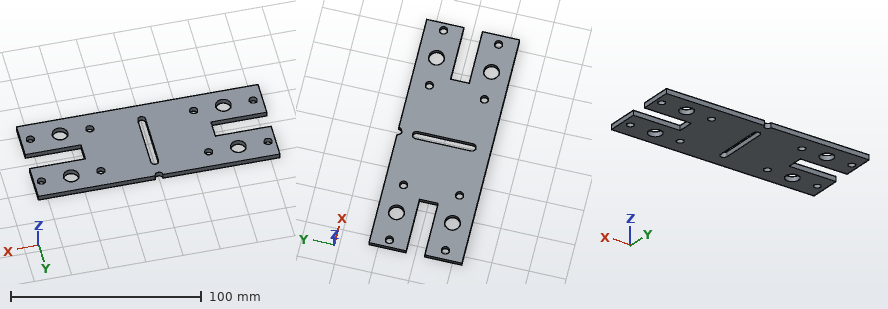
import cadquery as cq

length = 130.0
width = 50.0
thickness = 3.0

end_slot_depth = 30.0
end_slot_width = 10.0

large_diameter = 8.2
small_diameter = 4.2
hole_pitch = 16.0
row_offset = 15.0
back_group_x = 45.0
front_group_x = 44.0

slot_length = 2 * row_offset + small_diameter


def vertical_cylinders(points, diameter):
    """Cylinders through the plate thickness at the given points."""
    return cq.Workplane("XY").pushPoints(points).circle(diameter / 2).extrude(thickness)


plate = cq.Workplane("XY").box(length, width, thickness, centered=(True, True, False))

end_slots = (
    cq.Workplane("XY")
    .pushPoints([(-length / 2, 0), (length / 2, 0)])
    .rect(2 * end_slot_depth, end_slot_width)
    .extrude(thickness)
)

large_points = []
small_points = []
for group_x, row_y in [(back_group_x, row_offset), (front_group_x, -row_offset)]:
    for side in (-1, 1):
        large_points.append((side * group_x, row_y))
        small_points.append((side * (group_x - hole_pitch), row_y))
        small_points.append((side * (group_x + hole_pitch), row_y))

central_slot = cq.Workplane("XY").slot2D(slot_length, small_diameter, 90).extrude(thickness)
edge_notch = vertical_cylinders([(0, width / 2)], small_diameter)

result = (
    plate.cut(end_slots)
    .cut(vertical_cylinders(large_points, large_diameter))
    .cut(vertical_cylinders(small_points, small_diameter))
    .cut(central_slot)
    .cut(edge_notch)
)